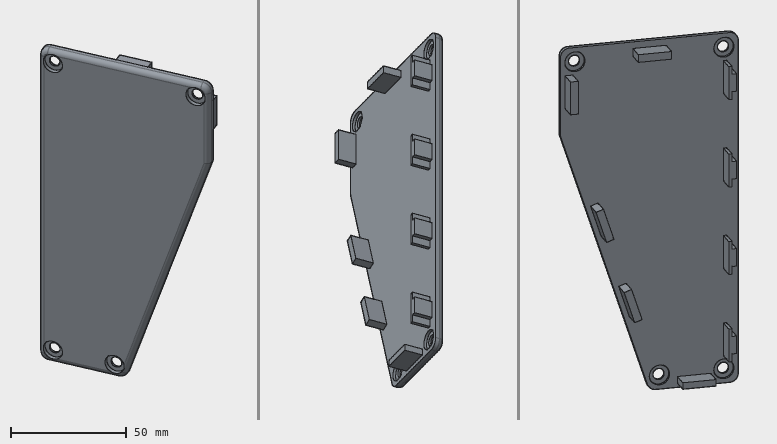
import cadquery as cq
import math

width = 80.0
height = 160.0
bottom_width = 40.0
slant_start_height = 120.0
total_depth = 12.8
plate_thickness = 4.3
block_height = total_depth - plate_thickness
corner_radius = 4.0
front_edge_radius = 2.4

hole_inset = 6.5
hole_diameter = 5.0
bore_diameter = 9.0
bore_depth = 2.0
web_thickness = 1.0
slant_hole_x = 35.5

block_length = 15.0
block_thickness = 3.5
bottom_block_thickness = 3.0
slant_gap = 2.3
edge_gap = 2.0
top_gap = 3.0
top_block_x = 40.0
bottom_block_x = 20.0
right_block_z = 140.0
slant_block_distances = (43.2, 83.2)

left_block_heights = (20.0, 60.0, 100.0, 140.0)
left_gap = 3.3
tab_length = 8.0
tab_thickness = 2.0

bar_thickness = block_thickness - tab_thickness

slant_rise = slant_start_height
slant_run = width - bottom_width
slant_angle = math.degrees(math.atan2(slant_rise, slant_run))
slant_length = math.hypot(slant_run, slant_rise)


def make_plate():
    """Five-sided plate with rounded corners and a rounded front edge."""
    outline = [
        (0, 0),
        (bottom_width, 0),
        (width, slant_start_height),
        (width, height),
        (0, height),
    ]
    plate = cq.Workplane("XZ").polyline(outline).close().extrude(-plate_thickness)
    rounded_corners = plate.edges("|Y").filter(lambda edge: abs(edge.Center().z - slant_start_height) > corner_radius)
    plate = rounded_corners.fillet(corner_radius)
    return plate.faces("<Y").edges().fillet(front_edge_radius)


def make_block(x, z, length, thickness, angle=0.0):
    """Block on the back face, centred at (x, z), its length turned by angle from +X towards +Z."""
    block = cq.Workplane("XY").box(length, block_height, thickness)
    block = block.rotate((0, 0, 0), (0, 1, 0), -angle)
    return block.translate((x, plate_thickness + block_height / 2, z))


def make_left_block(z):
    """Upright bar with a shorter tab on its outer side."""
    tab = make_block(left_gap + tab_thickness / 2, z, tab_length, tab_thickness, 90)
    bar_x = left_gap + tab_thickness + bar_thickness / 2
    return tab.union(make_block(bar_x, z, block_length, bar_thickness, 90))


def make_slant_block(distance):
    """Block parallel to the slanted side, at a distance along it from the bottom corner."""
    inset = slant_gap + block_thickness / 2
    along_x = slant_run / slant_length
    along_z = slant_rise / slant_length
    x = bottom_width + distance * along_x - inset * along_z
    z = distance * along_z + inset * along_x
    return make_block(x, z, block_length, block_thickness, slant_angle)


def make_screw_holes():
    """Cutters for the through holes and their front and rear counterbores."""
    centres = [
        (hole_inset, hole_inset),
        (slant_hole_x, hole_inset),
        (hole_inset, height - hole_inset),
        (width - hole_inset, height - hole_inset),
    ]
    front = cq.Workplane("XZ").pushPoints(centres)
    rear_bore_start = bore_depth + web_thickness
    rear = cq.Workplane("XZ", origin=(0, rear_bore_start, 0)).pushPoints(centres)
    holes = front.circle(hole_diameter / 2).extrude(-plate_thickness)
    front_bores = front.circle(bore_diameter / 2).extrude(-bore_depth)
    rear_bores = rear.circle(bore_diameter / 2).extrude(rear_bore_start - plate_thickness)
    return holes.union(front_bores).union(rear_bores)


def make_straight_side_blocks():
    """Single blocks along the top, bottom and right sides."""
    top_z = height - top_gap - block_thickness / 2
    bottom_z = edge_gap + bottom_block_thickness / 2
    right_x = width - edge_gap - block_thickness / 2
    return [
        make_block(top_block_x, top_z, block_length, block_thickness),
        make_block(bottom_block_x, bottom_z, block_length, bottom_block_thickness),
        make_block(right_x, right_block_z, block_length, block_thickness, 90),
    ]


blocks = make_straight_side_blocks()
blocks += [make_left_block(z) for z in left_block_heights]
blocks += [make_slant_block(distance) for distance in slant_block_distances]

result = make_plate().cut(make_screw_holes())
for block in blocks:
    result = result.union(block)